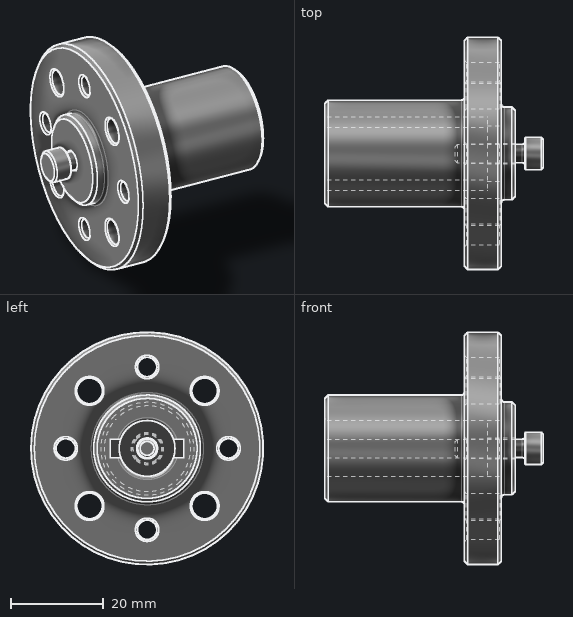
import cadquery as cq
import math

FLANGE_START = 30.0
FLANGE_THICKNESS = 8.0
BOSS_LENGTH = 3.0
FLANGE_END = FLANGE_START + FLANGE_THICKNESS
BOSS_END = FLANGE_END + BOSS_LENGTH

FLANGE_DIAMETER = 50.0
BARREL_DIAMETER = 23.0
BOSS_DIAMETER = 20.0
EDGE_CHAMFER = 0.75
ROOT_FILLET = 0.6

BORE_DIAMETER = 12.0
BORE_ENTRY_FILLET = 0.65
KEYWAY_WIDTH = 4.0
KEYWAY_SPAN = 15.75

HOLE_CIRCLE_RADIUS = 17.5
HOLES_PER_SIZE = 4
LARGE_HOLE_DIAMETER = 5.5
LARGE_HOLE_CHAMFER = 0.35
SMALL_HOLE_DIAMETER = 4.15
SMALL_HOLE_CHAMFER = 0.45

DISC_THICKNESS = 3.0
DISC_START = FLANGE_END - DISC_THICKNESS
CLEARANCE_DIAMETER = 4.5

SCREW_DIAMETER = 4.0
SHANK_LENGTH = 15.0
TIP_CHAMFER = 0.5
HEAD_DIAMETER = 7.0
HEAD_LENGTH = 4.0
HEAD_GAP = 2.0
HEAD_CHAMFER = 0.45
HEAD_UNDERSIDE_CHAMFER = 0.2
NECK_FILLET_LENGTH = 0.65
NECK_FILLET_HEIGHT = 0.2
HEAD_START = BOSS_END + HEAD_GAP


def cylinder(diameter, start, end):
    """Cylinder on the X axis between two axial positions."""
    return cq.Workplane("YZ").workplane(offset=start).circle(diameter / 2).extrude(end - start)


def revolve_about_x(profile):
    """Full turn of an XY half profile about the X axis."""
    return profile.close().revolve(360, (0, 0, 0), (1, 0, 0))


def housing_blank():
    """Barrel, flange and boss turned from one profile."""
    barrel = BARREL_DIAMETER / 2
    flange = FLANGE_DIAMETER / 2
    boss = BOSS_DIAMETER / 2
    corner = ROOT_FILLET * (1 - math.sqrt(0.5))
    profile = (
        cq.Workplane("XY")
        .lineTo(0, barrel - EDGE_CHAMFER)
        .lineTo(EDGE_CHAMFER, barrel)
        .lineTo(FLANGE_START - ROOT_FILLET, barrel)
        .threePointArc((FLANGE_START - corner, barrel + corner), (FLANGE_START, barrel + ROOT_FILLET))
        .lineTo(FLANGE_START, flange - EDGE_CHAMFER)
        .lineTo(FLANGE_START + EDGE_CHAMFER, flange)
        .lineTo(FLANGE_END - EDGE_CHAMFER, flange)
        .lineTo(FLANGE_END, flange - EDGE_CHAMFER)
        .lineTo(FLANGE_END, boss + ROOT_FILLET)
        .threePointArc((FLANGE_END + corner, boss + corner), (FLANGE_END + ROOT_FILLET, boss))
        .lineTo(BOSS_END - EDGE_CHAMFER, boss)
        .lineTo(BOSS_END, boss - EDGE_CHAMFER)
        .lineTo(BOSS_END, 0)
    )
    return revolve_about_x(profile)


def bore_cutter():
    """Bore with a rounded entry, deep enough to seat the disc."""
    radius = BORE_DIAMETER / 2
    entry_radius = radius + BORE_ENTRY_FILLET
    corner = BORE_ENTRY_FILLET * (1 - math.sqrt(0.5))
    profile = (
        cq.Workplane("XY")
        .lineTo(0, entry_radius)
        .threePointArc((corner, radius + corner), (BORE_ENTRY_FILLET, radius))
        .lineTo(FLANGE_END, radius)
        .lineTo(FLANGE_END, 0)
    )
    return revolve_about_x(profile)


def keyway_cutter():
    """One bar across the bore cuts both keyways, down to the disc face."""
    return cq.Workplane("YZ").rect(KEYWAY_SPAN, KEYWAY_WIDTH).extrude(DISC_START)


def flange_hole_cutter(diameter, chamfer, angle):
    """Through hole in the flange, chamfered at both faces."""
    radius = diameter / 2
    profile = (
        cq.Workplane("XY")
        .moveTo(FLANGE_START, 0)
        .lineTo(FLANGE_START, radius + chamfer)
        .lineTo(FLANGE_START + chamfer, radius)
        .lineTo(FLANGE_END - chamfer, radius)
        .lineTo(FLANGE_END, radius + chamfer)
        .lineTo(FLANGE_END, 0)
    )
    cutter = revolve_about_x(profile).translate((0, HOLE_CIRCLE_RADIUS, 0))
    return cutter.rotate((0, 0, 0), (1, 0, 0), angle)


def make_housing():
    body = housing_blank().cut(bore_cutter()).cut(keyway_cutter())
    body = body.cut(cylinder(CLEARANCE_DIAMETER, FLANGE_END, BOSS_END))
    step = 360 / HOLES_PER_SIZE
    for index in range(HOLES_PER_SIZE):
        angle = index * step
        body = body.cut(flange_hole_cutter(SMALL_HOLE_DIAMETER, SMALL_HOLE_CHAMFER, angle))
        body = body.cut(flange_hole_cutter(LARGE_HOLE_DIAMETER, LARGE_HOLE_CHAMFER, angle + step / 2))
    return body


def make_disc():
    """Disc filling the bottom of the bore, with clearance for the screw."""
    disc = cylinder(BORE_DIAMETER, DISC_START, FLANGE_END)
    return disc.cut(cylinder(CLEARANCE_DIAMETER, DISC_START, FLANGE_END))


def make_screw():
    """Screw with a chamfered tip and a flared neck under a cylindrical head."""
    shank = SCREW_DIAMETER / 2
    head = HEAD_DIAMETER / 2
    tip = HEAD_START - SHANK_LENGTH
    head_end = HEAD_START + HEAD_LENGTH
    profile = (
        cq.Workplane("XY")
        .moveTo(tip, 0)
        .lineTo(tip, shank - TIP_CHAMFER)
        .lineTo(tip + TIP_CHAMFER, shank)
        .lineTo(HEAD_START - NECK_FILLET_LENGTH, shank)
        .tangentArcPoint((HEAD_START, shank + NECK_FILLET_HEIGHT), relative=False)
        .lineTo(HEAD_START, head - HEAD_UNDERSIDE_CHAMFER)
        .lineTo(HEAD_START + HEAD_UNDERSIDE_CHAMFER, head)
        .lineTo(head_end - HEAD_CHAMFER, head)
        .lineTo(head_end, head - HEAD_CHAMFER)
        .lineTo(head_end, 0)
    )
    return revolve_about_x(profile)


housing = make_housing()
disc = make_disc()
screw = make_screw()

result = cq.Compound.makeCompound([housing.val(), disc.val(), screw.val()])